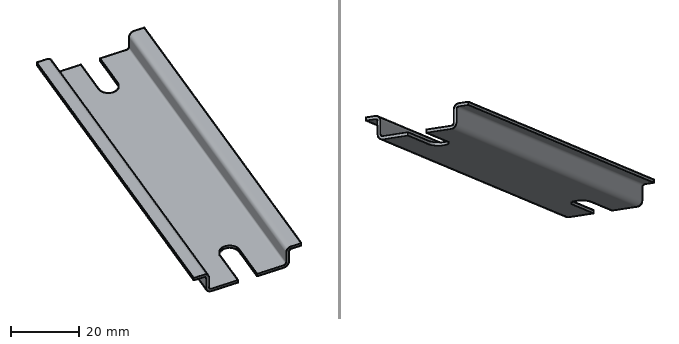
import cadquery as cq

length = 105.0
width = 35.0
height = 7.5

thickness = 1.0
channel_width = 27.0
inner_bend = 0.8
outer_bend = inner_bend + thickness

slot_width = 6.2
slot_depth = 15.0


def box_section(section_width, bottom, top):
    """Full-length block centred on the rail, between two heights."""
    return (
        cq.Workplane("XY", origin=(0, 0, bottom))
        .box(length, section_width, top - bottom, centered=(True, True, False))
    )


def hat_block(web_width, bottom, top, flange_bottom, lower_bend, upper_bend):
    """Solid hat: a channel block under a full-width flange, with both bends rounded."""
    channel = box_section(web_width, bottom, top).edges("|X and <Z").fillet(lower_bend)
    flange = box_section(width, flange_bottom, top)
    hat = channel.union(flange)
    corner_edges = cq.selectors.BoxSelector(
        (-length, -web_width / 2 - thickness / 2, flange_bottom - thickness / 2),
        (length, web_width / 2 + thickness / 2, flange_bottom + thickness / 2),
    )
    return hat.edges("|X").edges(corner_edges).fillet(upper_bend)


def rail_profile():
    """Outer hat minus the same hat offset by the sheet thickness."""
    outer = hat_block(
        channel_width, 0, height, height - thickness, outer_bend, inner_bend
    )
    inner = hat_block(
        channel_width - 2 * thickness, thickness, height + thickness, height,
        inner_bend, outer_bend,
    )
    return outer.cut(inner)


def end_slot(side):
    """Round-ended slot through the floor, open at the rail end on the given side (-1 or 1)."""
    return (
        cq.Workplane("XY")
        .center(side * length / 2, 0)
        .slot2D(2 * slot_depth, slot_width)
        .extrude(height)
    )


result = rail_profile()
for side in (-1, 1):
    result = result.cut(end_slot(side))